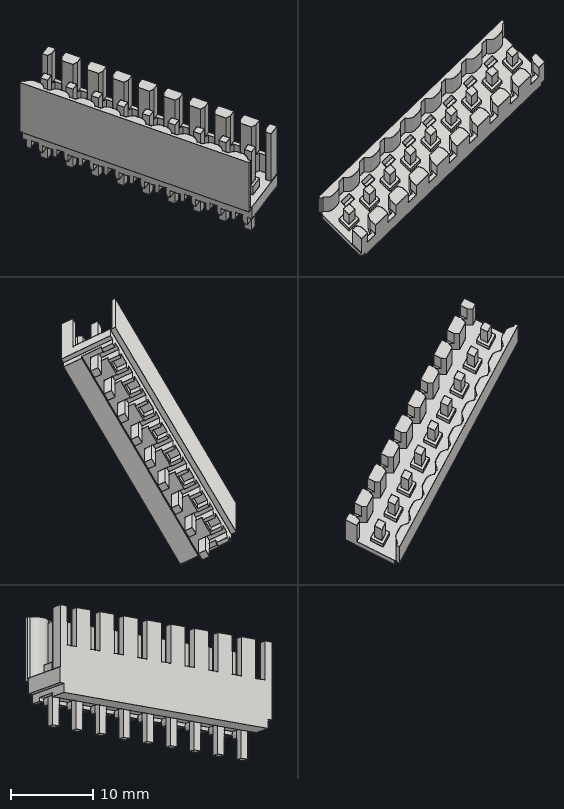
import cadquery as cq
import math

pin_count = 9
pitch = 3.5
first_pin_x = 1.72
pin_y = 3.55

pin_size = 1.0
pin_top_z = 9.8
pin_bottom_z = -3.25

depth = 7.45
housing_top_z = 11.0
floor_z = 3.15
wall_length = 2 * first_pin_x + (pin_count - 1) * pitch
base_length = 31.5

base_front_y = 0.66
front_wall_bottom_z = 2.85
front_wall_thin = 0.45
rib_height = 0.66
rib_root_half_width = 1.38
rib_shoulder_radius = 1.0

back_wall_thickness = 1.6
recess_floor_thickness = 0.54
recess_mouth_half_width = 0.98
recess_floor_half_width = 0.45
back_slot_width = 1.35
back_slot_sill_z = 6.05

collar_size = 1.72
collar_height = 1.35

foot_inset = 0.56
foot_height = 1.15
channel_front_y = 2.2
channel_back_y = 4.93
channel_height = 0.5

pin_notch_width = 0.96
pin_notch_height = 1.32
pin_notch_mouth_width = 1.2
pin_notch_flare_height = 0.42
gap_width = 1.42
gap_notch_height = 1.1

pocket_front_y = 1.11
pocket_back_y = 2.0
pocket_ramp_run = 0.42
pocket_depth = 0.42

pin_xs = [first_pin_x + i * pitch for i in range(pin_count)]
gap_xs = [x + pitch / 2 for x in pin_xs[:-1]]
pin_front_y = pin_y - pin_size / 2
rib_flank_angle = math.radians(45)
rib_crest_half_width = (
    rib_root_half_width
    - rib_height / math.tan(rib_flank_angle)
    - rib_shoulder_radius * math.tan(rib_flank_angle / 2)
)
back_wall_y = depth - back_wall_thickness


def box(x_range, y_range, z_range):
    """Axis-aligned block between the given limits."""
    (x0, x1), (y0, y1), (z0, z1) = x_range, y_range, z_range
    return cq.Workplane("XY").box(x1 - x0, y1 - y0, z1 - z0, centered=False).translate((x0, y0, z0))


def centred(position, width):
    """Limits of a feature of the given width centred on a position."""
    return (position - width / 2, position + width / 2)


def make_base():
    """Floor slab on a shorter foot with a lengthwise channel underneath."""
    slab = box((0, base_length), (base_front_y, depth), (foot_height, floor_z))
    foot_limits = (foot_inset, wall_length - foot_inset)
    foot = box(foot_limits, (base_front_y, depth), (0, foot_height))
    channel = box(foot_limits, (channel_front_y, channel_back_y), (0, channel_height))
    return slab.union(foot).cut(channel)


def rib_shoulder_offset(angle):
    """Distance from the rib centre and drop below its crest, part way round a shoulder."""
    return (
        rib_crest_half_width + rib_shoulder_radius * math.sin(angle),
        rib_shoulder_radius * (1 - math.cos(angle)),
    )


def make_front_wall():
    """Thin wall overhanging the base, with one rounded rib opposite each pin."""
    crest_y = front_wall_thin + rib_height
    shoulder_x, shoulder_drop = rib_shoulder_offset(rib_flank_angle)
    middle_x, middle_drop = rib_shoulder_offset(rib_flank_angle / 2)
    outline = cq.Workplane("XY").moveTo(0, 0).lineTo(0, front_wall_thin)
    for x in pin_xs:
        outline = (
            outline.lineTo(x - rib_root_half_width, front_wall_thin)
            .lineTo(x - shoulder_x, crest_y - shoulder_drop)
            .threePointArc((x - middle_x, crest_y - middle_drop), (x - rib_crest_half_width, crest_y))
            .lineTo(x + rib_crest_half_width, crest_y)
            .threePointArc((x + middle_x, crest_y - middle_drop), (x + shoulder_x, crest_y - shoulder_drop))
            .lineTo(x + rib_root_half_width, front_wall_thin)
        )
    outline = outline.lineTo(wall_length, front_wall_thin).lineTo(wall_length, 0).close()
    scalloped = outline.extrude(housing_top_z - floor_z).translate((0, 0, floor_z))
    lower_edge = box((0, wall_length), (0, base_front_y), (front_wall_bottom_z, floor_z))
    return scalloped.union(lower_edge)


def make_back_recess(x):
    """Tapered recess behind a pin, opened through the wall above a sill."""
    recess_floor_y = depth - recess_floor_thickness
    recess = (
        cq.Workplane("XY")
        .workplane(offset=floor_z)
        .polyline([
            (x - recess_mouth_half_width, back_wall_y),
            (x + recess_mouth_half_width, back_wall_y),
            (x + recess_floor_half_width, recess_floor_y),
            (x - recess_floor_half_width, recess_floor_y),
        ])
        .close()
        .extrude(housing_top_z - floor_z)
    )
    slot = box(centred(x, back_slot_width), (back_wall_y, depth), (back_slot_sill_z, housing_top_z))
    return recess.union(slot)


def make_back_wall():
    wall = box((0, wall_length), (back_wall_y, depth), (floor_z, housing_top_z))
    for x in pin_xs:
        wall = wall.cut(make_back_recess(x))
    return wall


def make_pin_notch(x):
    """Notch from the front of the foot back to a pin, flared at its lower mouth."""
    notch_half = pin_notch_width / 2
    mouth_half = pin_notch_mouth_width / 2
    return (
        cq.Workplane("XZ", origin=(x, pin_front_y, 0))
        .polyline([
            (-mouth_half, 0),
            (-notch_half, pin_notch_flare_height),
            (-notch_half, pin_notch_height),
            (notch_half, pin_notch_height),
            (notch_half, pin_notch_flare_height),
            (mouth_half, 0),
        ])
        .close()
        .extrude(pin_front_y - base_front_y)
    )


def make_gap_notch(x):
    """Blind square notch in the front of the foot between two pins."""
    return box(centred(x, gap_width), (base_front_y, pocket_back_y), (0, gap_notch_height))


def make_floor_pocket(x):
    """Shallow pocket in the floor between two pins, with a ramp at its front."""
    pocket_bottom_z = floor_z - pocket_depth
    return (
        cq.Workplane("YZ", origin=(x - gap_width / 2, 0, 0))
        .polyline([
            (pocket_front_y, floor_z),
            (pocket_front_y + pocket_ramp_run, pocket_bottom_z),
            (pocket_back_y, pocket_bottom_z),
            (pocket_back_y, floor_z),
        ])
        .close()
        .extrude(gap_width)
    )


def make_collar(x):
    """Square boss on the floor around a pin."""
    return box(centred(x, collar_size), centred(pin_y, collar_size), (floor_z, floor_z + collar_height))


def make_pin(x):
    """Straight square contact pin."""
    return box(centred(x, pin_size), centred(pin_y, pin_size), (pin_bottom_z, pin_top_z))


def make_housing():
    body = make_base().union(make_front_wall()).union(make_back_wall())
    for x in gap_xs:
        body = body.cut(make_gap_notch(x)).cut(make_floor_pocket(x))
    for x in pin_xs:
        body = body.union(make_collar(x)).cut(make_pin_notch(x)).cut(make_pin(x))
    return body


housing = make_housing()
pins = [make_pin(x) for x in pin_xs]

result = cq.Compound.makeCompound([housing.val(), *[pin.val() for pin in pins]])